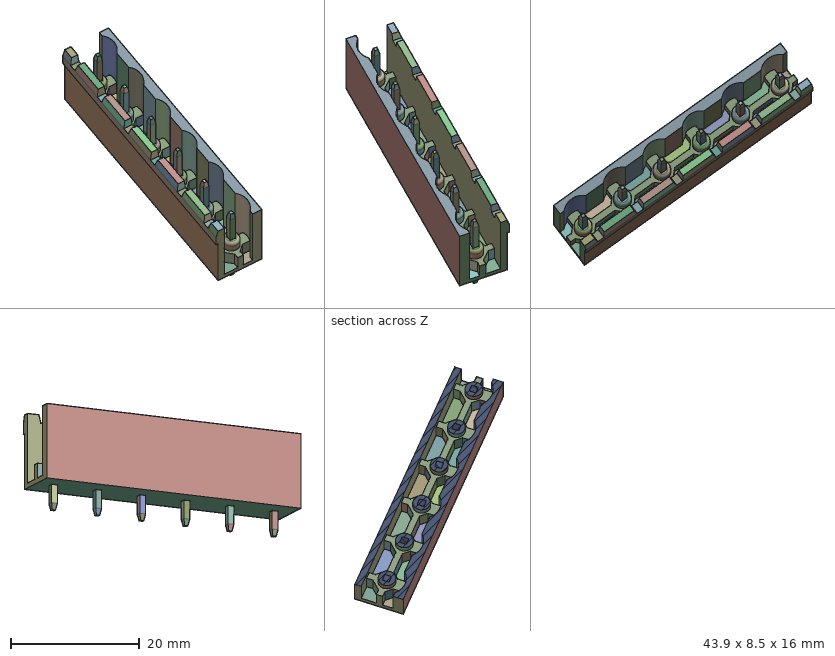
import cadquery as cq


PIN_COUNT = 6
END_MARGIN = 2.9

LENGTH = 43.9
HEIGHT = 12.0
FLOOR = 0.8
BACK_OUTER = 3.8
BACK_WALL = 1.7
FRONT_OUTER = -4.3
FRONT_WALL = 1.15
BACK_INNER = BACK_OUTER - BACK_WALL
FRONT_INNER = FRONT_OUTER + FRONT_WALL
SCALLOP_RADIUS = 3.0

LIP_DEPTH = 0.4
LIP_BOTTOM = 8.95
LIP_BEVEL = 1.3
NOTCH_TOP = 1.85
NOTCH_BOTTOM = 1.2

SEAT_TOP = 3.15
RIDGE_BACK = 0.4
RIDGE_FRONT = -0.65
SEAT_HALF = 1.98
BACK_RIB_HALF = 1.0
BACK_RIB_START = 1.4
FRONT_RIB_HALF = 0.55
FRONT_RIB_START = -2.1

COLLAR_DIAMETER = 2.8
COLLAR_TOP = 4.87
COLLAR_ROUND = 0.53

PIN_WIDTH = 1.0
PIN_TIP_WIDTH = 0.55
PIN_BOTTOM = -4.0
PIN_TOP = 10.85
PIN_TAPER = 1.05

PITCH = (LENGTH - 2 * END_MARGIN) / (PIN_COUNT - 1)
PIN_POSITIONS = [(i - (PIN_COUNT - 1) / 2) * PITCH for i in range(PIN_COUNT)]


def make_channel():
    """U-shaped channel with the latching lip, as one YZ profile along X."""
    lip_face = FRONT_OUTER - LIP_DEPTH
    profile = [
        (BACK_OUTER, 0),
        (BACK_OUTER, HEIGHT),
        (BACK_INNER, HEIGHT),
        (BACK_INNER, FLOOR),
        (FRONT_INNER, FLOOR),
        (FRONT_INNER, HEIGHT),
        (FRONT_OUTER, HEIGHT),
        (lip_face, HEIGHT - LIP_BEVEL),
        (lip_face, LIP_BOTTOM),
        (FRONT_OUTER, LIP_BOTTOM),
        (FRONT_OUTER, 0),
    ]
    return cq.Workplane("YZ").polyline(profile).close().extrude(LENGTH / 2, both=True)


def make_scallop(x):
    """Cylinder that hollows the back wall behind a pin, down to the floor."""
    return (
        cq.Workplane("XY", origin=(x, 0, FLOOR))
        .circle(SCALLOP_RADIUS)
        .extrude(HEIGHT - FLOOR)
    )


def make_notch(x):
    """Tapered gap through the top of the front wall, in line with a pin."""
    outline = [
        (-NOTCH_TOP / 2, HEIGHT),
        (NOTCH_TOP / 2, HEIGHT),
        (NOTCH_BOTTOM / 2, HEIGHT - LIP_BEVEL),
        (-NOTCH_BOTTOM / 2, HEIGHT - LIP_BEVEL),
    ]
    return (
        cq.Workplane("XZ", origin=(x, FRONT_INNER, 0))
        .polyline(outline)
        .close()
        .extrude(FRONT_WALL + LIP_DEPTH)
    )


def make_ridge():
    """Full-length ridge that joins the pin seats."""
    return (
        cq.Workplane("XY", origin=(0, (RIDGE_BACK + RIDGE_FRONT) / 2, 0))
        .box(LENGTH, RIDGE_BACK - RIDGE_FRONT, SEAT_TOP, centered=(True, True, False))
    )


def make_seat(x):
    """Faceted pin seat whose ribs reach the front wall and run into the back wall."""
    back_rib_end = (SCALLOP_RADIUS + BACK_OUTER) / 2
    right_side = [
        (BACK_RIB_HALF, back_rib_end),
        (BACK_RIB_HALF, BACK_RIB_START),
        (SEAT_HALF, RIDGE_BACK),
        (SEAT_HALF, RIDGE_FRONT),
        (FRONT_RIB_HALF, FRONT_RIB_START),
        (FRONT_RIB_HALF, FRONT_INNER),
    ]
    left_side = [(-px, py) for px, py in reversed(right_side)]
    return (
        cq.Workplane("XY", origin=(x, 0, 0))
        .polyline(right_side + left_side)
        .close()
        .extrude(SEAT_TOP)
    )


def make_collar(x):
    """Round collar with a rounded upper edge, standing on a pin seat."""
    return (
        cq.Workplane("XY", origin=(x, 0, SEAT_TOP))
        .circle(COLLAR_DIAMETER / 2)
        .extrude(COLLAR_TOP - SEAT_TOP)
        .faces(">Z")
        .edges()
        .fillet(COLLAR_ROUND)
    )


def make_pin_hole(x):
    """Square passage for a pin through the floor, seat and collar."""
    return (
        cq.Workplane("XY", origin=(x, 0, 0))
        .rect(PIN_WIDTH, PIN_WIDTH)
        .extrude(COLLAR_TOP)
    )


def make_housing():
    body = make_channel()
    for x in PIN_POSITIONS:
        body = body.cut(make_scallop(x)).cut(make_notch(x))
    body = body.union(make_ridge())
    for x in PIN_POSITIONS:
        body = body.union(make_seat(x)).union(make_collar(x))
        body = body.cut(make_pin_hole(x))
    return body


def make_pin(x):
    """Straight square pin, tapered at both ends."""
    shank_bottom = PIN_BOTTOM + PIN_TAPER
    shank_top = PIN_TOP - PIN_TAPER
    pin = (
        cq.Workplane("XY", origin=(x, 0, shank_bottom))
        .rect(PIN_WIDTH, PIN_WIDTH)
        .extrude(shank_top - shank_bottom)
    )
    for shank_end, taper in ((shank_bottom, -PIN_TAPER), (shank_top, PIN_TAPER)):
        tip = (
            cq.Workplane("XY", origin=(x, 0, shank_end))
            .rect(PIN_WIDTH, PIN_WIDTH)
            .workplane(offset=taper)
            .rect(PIN_TIP_WIDTH, PIN_TIP_WIDTH)
            .loft(combine=True)
        )
        pin = pin.union(tip)
    return pin


housing = make_housing()
pins = [make_pin(x) for x in PIN_POSITIONS]

result = cq.Compound.makeCompound([housing.solids().val(), *[pin.solids().val() for pin in pins]])